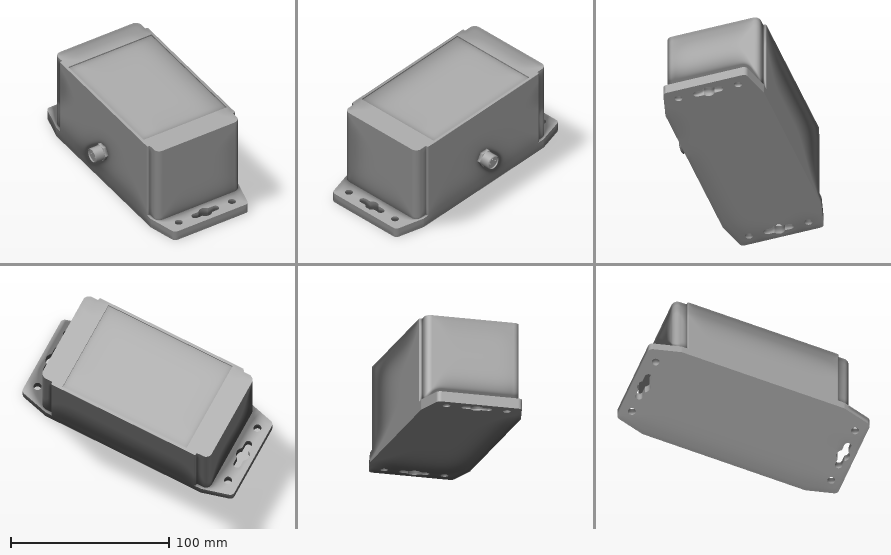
import cadquery as cq
import math

plate_length = 150.8
plate_width = 65.9
plate_thickness = 6.8
taper_start = 55.5
taper_angle = 15.0
plate_corner_radius = 3.0

total_height = 62.0
housing_length = 120.3
housing_corner_radius = 4.0
middle_length = 103.1
recess_depth = 1.8
middle_corner_radius = 0.9

pocket_length = 88.5
pocket_width = 62.3
pocket_depth = 0.9

hole_x = 68.0
hole_y = 19.9
hole_diameter = 5.0
keyhole_diameter = 8.5
keyhole_slot_width = 4.7
keyhole_slot_length = 19.9

connector_z = 24.5
connector_length = 8.7
nut_across_flats = 10.0
nut_thickness = 2.3
barrel_diameter = 9.8
barrel_chamfer = 0.5
socket_diameter = 8.5
socket_depth = 0.9
pin_hole_diameter = 1.0
pin_hole_depth = 2.3
pin_circle_radius = 2.4
pin_angles = (0, 90, 180)

wall_y = -plate_width / 2


def make_plate():
    half_length = plate_length / 2
    half_width = plate_width / 2
    taper_drop = (half_length - taper_start) * math.tan(math.radians(taper_angle))
    end_y = half_width - taper_drop
    outline = [
        (half_length, -end_y),
        (half_length, end_y),
        (taper_start, half_width),
        (-taper_start, half_width),
        (-half_length, end_y),
        (-half_length, -end_y),
        (-taper_start, -half_width),
        (taper_start, -half_width),
    ]
    plate = cq.Workplane("XY").polyline(outline).close().extrude(plate_thickness)
    return plate.edges("|Z").fillet(plate_corner_radius)


def make_housing():
    end_width = plate_width - 2 * recess_depth
    ends = (
        cq.Workplane("XY")
        .rect(housing_length, end_width)
        .extrude(total_height)
        .edges("|Z")
        .fillet(housing_corner_radius)
    )
    middle = (
        cq.Workplane("XY")
        .rect(middle_length, plate_width)
        .extrude(total_height)
        .edges("|Z")
        .fillet(middle_corner_radius)
    )
    return ends.union(middle)


def make_label_pocket():
    return (
        cq.Workplane("XY", origin=(0, 0, total_height - pocket_depth))
        .rect(pocket_length, pocket_width)
        .extrude(pocket_depth)
    )


def make_ear_holes(x):
    ear = cq.Workplane("XY", origin=(x, 0, 0))
    round_holes = (
        ear.pushPoints([(0, -hole_y), (0, hole_y)])
        .circle(hole_diameter / 2)
        .extrude(plate_thickness)
    )
    keyhole = ear.circle(keyhole_diameter / 2).extrude(plate_thickness)
    slot = ear.slot2D(keyhole_slot_length, keyhole_slot_width, 90).extrude(plate_thickness)
    return round_holes.union(keyhole).union(slot)


def connector_plane(distance):
    """Plane facing -Y, the given distance out from the wall."""
    return cq.Workplane("XZ", origin=(0, wall_y - distance, connector_z))


def make_connector():
    nut_across_corners = nut_across_flats / math.cos(math.radians(30))
    nut = connector_plane(0).polygon(6, nut_across_corners).extrude(nut_thickness)
    barrel = (
        connector_plane(0)
        .circle(barrel_diameter / 2)
        .extrude(connector_length)
        .faces("<Y")
        .chamfer(barrel_chamfer)
    )
    socket = (
        connector_plane(connector_length)
        .circle(socket_diameter / 2)
        .extrude(-socket_depth)
    )
    pin_points = [
        (
            pin_circle_radius * math.cos(math.radians(angle)),
            pin_circle_radius * math.sin(math.radians(angle)),
        )
        for angle in pin_angles
    ]
    pin_holes = (
        connector_plane(connector_length - socket_depth)
        .pushPoints(pin_points)
        .circle(pin_hole_diameter / 2)
        .extrude(-pin_hole_depth)
    )
    return nut.union(barrel).cut(socket).cut(pin_holes)


body = make_plate().union(make_housing()).cut(make_label_pocket())
for ear_x in (-hole_x, hole_x):
    body = body.cut(make_ear_holes(ear_x))

result = body.union(make_connector())